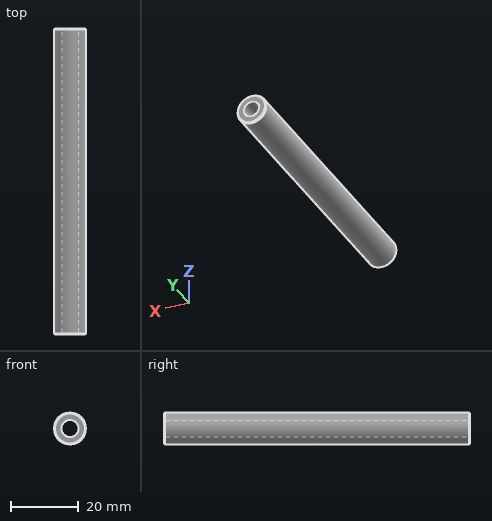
import cadquery as cq

length = 90.5
outer_diameter = 9.5
bore_diameter = 5.0
rim_chamfer = 0.4

rod = cq.Workplane("XZ").circle(outer_diameter / 2).extrude(length / 2, both=True)
rod = rod.faces("<Y or >Y").chamfer(rim_chamfer)

bore = cq.Workplane("XZ").circle(bore_diameter / 2).extrude(length / 2, both=True)

result = rod.cut(bore)